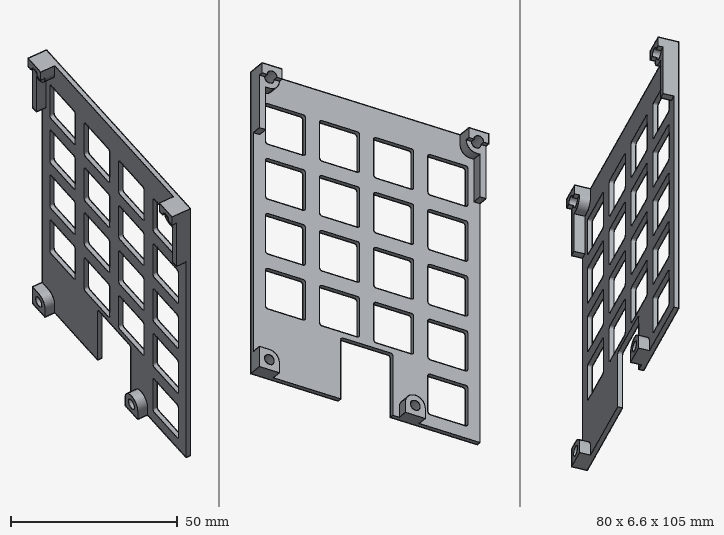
import cadquery as cq

width = 80.0
height = 105.0
plate_thickness = 1.6

boss_depth = 5.0
corner_block_depth = 6.6

hole_diameter = 3.4
boss_diameter = 7.0
boss_radius = boss_diameter / 2
lower_right_boss_x = 55.0

rib_width = 2.2
rib_length = 21.8

columns = 4
rows = 4
window_size = 14.1
window_pitch = 19.1
window_corner_radius = 0.8
first_window_x = (width - (columns - 1) * window_pitch) / 2
first_window_z = height - 17.2

notch_left = 30.9
notch_width = 18.4
notch_height = 21.4
notch_corner_radius = 0.8


def block(x, z, size_x, size_z, depth):
    """Box with lower left corner (x, z), reaching forward from the flat back."""
    return cq.Workplane("XY").box(size_x, depth, size_z, centered=False).translate((x, -depth, z))


def cylinder(x, z, radius, depth):
    """Cylinder along Y, reaching forward from the flat back."""
    return cq.Workplane("XZ").center(x, z).circle(radius).extrude(depth)


def boss(x, z):
    """Round boss whose straight flanks run on to the upper or lower plate edge it touches."""
    flank_z = 0 if z < height / 2 else z
    flanks = block(x - boss_radius, flank_z, boss_diameter, boss_radius, boss_depth)
    return cylinder(x, z, boss_radius, boss_depth).union(flanks)


def corner_boss(x, z):
    """Boss that also fills out to the side edge it touches."""
    fill_x = 0 if x < width / 2 else x
    return boss(x, z).union(block(fill_x, z - boss_radius, boss_radius, boss_diameter, boss_depth))


def upper_corner(x, z):
    """Corner boss with a deeper half block above the screw axis and a rib down the side edge."""
    half_block = block(x - boss_radius, z, boss_diameter, boss_radius, corner_block_depth)
    rib_x = 0 if x < width / 2 else width - rib_width
    rib = block(rib_x, height - rib_length, rib_width, rib_length, boss_depth)
    return corner_boss(x, z).union(half_block).union(rib)


def window(x, z):
    """Cutter for one square key window with rounded corners."""
    cutter = block(x - window_size / 2, z - window_size / 2, window_size, window_size, plate_thickness)
    return cutter.edges("|Y").fillet(window_corner_radius)


upper_left = (boss_radius, height - boss_radius)
upper_right = (width - boss_radius, height - boss_radius)
lower_left = (boss_radius, boss_radius)
lower_right = (lower_right_boss_x, boss_radius)

result = block(0, 0, width, height, plate_thickness)
result = result.union(upper_corner(*upper_left))
result = result.union(upper_corner(*upper_right))
result = result.union(corner_boss(*lower_left))
result = result.union(boss(*lower_right))

for x, z in (upper_left, upper_right, lower_left, lower_right):
    result = result.cut(cylinder(x, z, hole_diameter / 2, corner_block_depth))

window_cells = [(column, row) for row in range(rows) for column in range(columns)]
window_cells.append((columns - 1, rows))
for column, row in window_cells:
    window_x = first_window_x + column * window_pitch
    window_z = first_window_z - row * window_pitch
    result = result.cut(window(window_x, window_z))

notch = block(notch_left, 0, notch_width, notch_height, plate_thickness)
result = result.cut(notch.faces(">Z").edges("|Y").fillet(notch_corner_radius))